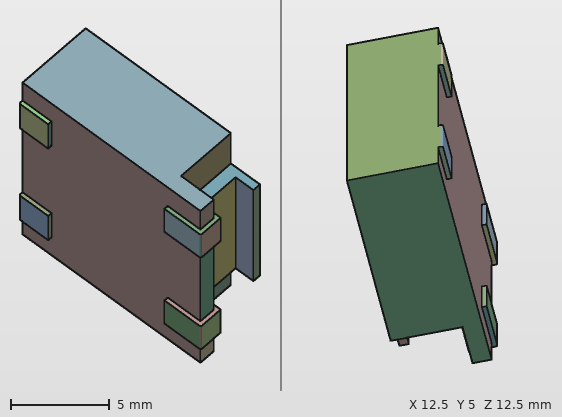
import cadquery as cq

length = 12.5
height = 12.5
depth = 5.0
sheet = 0.25
block_length = 10.0
ledge_thickness = 1.0
pad_size = 2.0
clip_height = 1.9
contact_spacing = 7.55
edge_radius = 0.1
web_end = 10.78
flange_end = 12.0
flange_thickness = 0.5
core_height = 7.5

ledge_end = length - sheet
ledge_back = sheet + ledge_thickness
contact_levels = (-contact_spacing / 2, contact_spacing / 2)


def box(x_start, x_end, y_start, y_end, z_size, z_center=0.0):
    """Box between X and Y limits, centred vertically on z_center."""
    return (
        cq.Workplane("XY")
        .box(x_end - x_start, y_end - y_start, z_size)
        .translate(((x_start + x_end) / 2, (y_start + y_end) / 2, z_center))
    )


def make_body():
    """Main block with a full-height ledge along its front face."""
    block = box(0, block_length, sheet, depth, height)
    ledge = box(0, ledge_end, sheet, ledge_back, height)
    return block.union(ledge)


def make_core():
    """Recessed web behind the ledge with a flange at the back."""
    web = box(block_length, web_end, ledge_back, depth, core_height)
    flange = box(block_length, flange_end, depth - flange_thickness, depth, core_height)
    return web.union(flange)


def make_pad(level):
    """Flat square pad with a rounded outer edge."""
    pad = box(0, pad_size, 0, sheet, pad_size, level)
    return pad.edges("|Z and <X and <Y").fillet(edge_radius)


def make_clip(level):
    """Strip folded around the front, end and back of the ledge."""
    front_and_end = box(block_length, length, 0, ledge_back, clip_height, level)
    back_arm = box(web_end, length, ledge_back, ledge_back + sheet, clip_height, level)
    wrap = front_and_end.union(back_arm)
    wrap = wrap.edges("|Z and >X and <Y").fillet(edge_radius)
    return wrap.cut(box(block_length, ledge_end, sheet, ledge_back, clip_height, level))


result = make_body().union(make_core())
for contact_level in contact_levels:
    result = result.union(make_pad(contact_level))
    result = result.union(make_clip(contact_level))